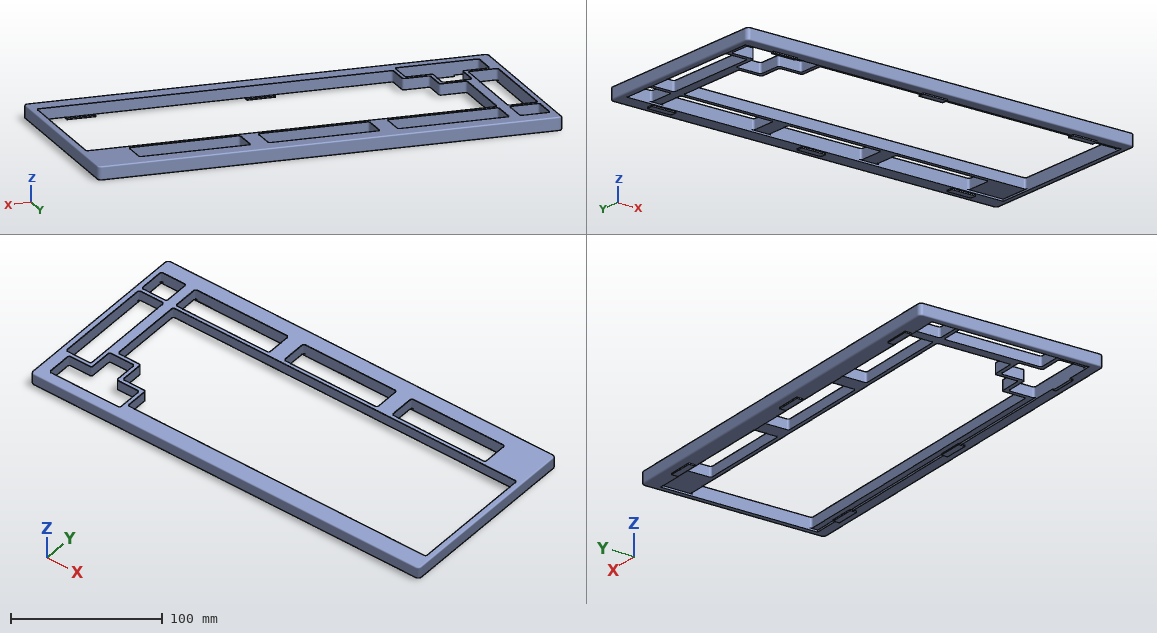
import cadquery as cq
LENGTH = 325.27
WIDTH = 146.69
TOTAL_HEIGHT = 10.5
FOOT_HEIGHT = 1.0
BODY_HEIGHT = TOTAL_HEIGHT - FOOT_HEIGHT
CORNER_RADIUS = 3.0
RIM_RADIUS = 1.0
RECESS_DEPTH = 1.5

PITCH = 19.05
CLEARANCE = 0.8
COLUMN_GAP = 0.5 * PITCH
ROW_GAP = 0.25 * PITCH
ARROW_OFFSET = 0.25 * PITCH
FUNCTION_GAP = 0.75 * PITCH

MAIN_COLUMNS = 15
MAIN_ROWS = 5
SIDE_ROWS = 4
FUNCTION_KEYS = 4
FUNCTION_GROUPS = 3
ARROW_COLUMNS = 3

OPENING_RADIUS = 1.5
OPENING_CHAMFER = 0.2

FOOT_LENGTH = 20.0
FOOT_WIDTH = 5.0
FOOT_COLUMNS = 3
FOOT_ROWS = 2
FOOT_SPACING_X = 126.0
FOOT_OFFSET_Y = 64.6

BACK_MARGIN = 13.5
KEYS_LENGTH = PITCH + COLUMN_GAP + MAIN_COLUMNS * PITCH
SIDE_LEFT = -KEYS_LENGTH / 2
MAIN_LEFT = SIDE_LEFT + PITCH + COLUMN_GAP
MAIN_RIGHT = MAIN_LEFT + MAIN_COLUMNS * PITCH
FUNCTION_TOP = WIDTH / 2 - BACK_MARGIN
FUNCTION_BOTTOM = FUNCTION_TOP - PITCH
MAIN_TOP = FUNCTION_BOTTOM - ROW_GAP
MAIN_BOTTOM = MAIN_TOP - MAIN_ROWS * PITCH
ARROW_LEFT = SIDE_LEFT + ARROW_OFFSET
ARROW_BOTTOM = MAIN_BOTTOM - ARROW_OFFSET


def make_body():
    """Plate with rounded corners and rounded top and bottom rims."""
    plate = cq.Workplane("XY").rect(LENGTH, WIDTH).extrude(BODY_HEIGHT)
    plate = plate.edges("|Z").fillet(CORNER_RADIUS)
    return plate.faces("<Z or >Z").fillet(RIM_RADIUS)


def make_feet():
    """Low pads in two rows under the frame."""
    return (
        cq.Workplane("XY")
        .rarray(FOOT_SPACING_X, 2 * FOOT_OFFSET_Y, FOOT_COLUMNS, FOOT_ROWS)
        .rect(FOOT_LENGTH, FOOT_WIDTH)
        .extrude(-FOOT_HEIGHT)
    )


def key_block(left, top, columns, rows):
    """Corners of a rectangular block of keys, from its back left corner."""
    right = left + columns * PITCH
    bottom = top - rows * PITCH
    return [(left, bottom), (right, bottom), (right, top), (left, top)]


def main_block():
    """Main block, with two steps at its front left corner for the arrow keys."""
    first_step_y = MAIN_BOTTOM + 2 * PITCH
    second_step_y = MAIN_BOTTOM + PITCH
    return [
        (MAIN_LEFT, MAIN_TOP),
        (MAIN_LEFT, first_step_y),
        (MAIN_LEFT + PITCH, first_step_y),
        (MAIN_LEFT + PITCH, second_step_y),
        (MAIN_LEFT + 2 * PITCH, second_step_y),
        (MAIN_LEFT + 2 * PITCH, MAIN_BOTTOM),
        (MAIN_RIGHT, MAIN_BOTTOM),
        (MAIN_RIGHT, MAIN_TOP),
    ]


def arrow_cluster():
    """Inverted T: a row of three keys with one key behind the middle."""
    right = ARROW_LEFT + ARROW_COLUMNS * PITCH
    shoulder_y = ARROW_BOTTOM + PITCH
    top = shoulder_y + PITCH
    return [
        (ARROW_LEFT, ARROW_BOTTOM),
        (right, ARROW_BOTTOM),
        (right, shoulder_y),
        (right - PITCH, shoulder_y),
        (right - PITCH, top),
        (ARROW_LEFT + PITCH, top),
        (ARROW_LEFT + PITCH, shoulder_y),
        (ARROW_LEFT, shoulder_y),
    ]


def cut_opening(body, key_outline):
    """Cut an opening with rounded corners through the body and any foot below it."""
    keys = cq.Workplane("XY", origin=(0, 0, -FOOT_HEIGHT)).polyline(key_outline).close()
    cutter = keys.offset2D(CLEARANCE, "intersection").extrude(TOTAL_HEIGHT)
    cutter = cutter.edges("|Z").fillet(OPENING_RADIUS)
    return body.cut(cutter)


def cut_recess(body):
    """Shallow underside recess over all the openings, so the bars between them are thinner."""
    left = SIDE_LEFT - CLEARANCE
    right = MAIN_RIGHT + CLEARANCE
    front = ARROW_BOTTOM - CLEARANCE
    back = FUNCTION_TOP + CLEARANCE
    recess = (
        cq.Workplane("XY")
        .center((left + right) / 2, (front + back) / 2)
        .rect(right - left, back - front)
        .extrude(RECESS_DEPTH)
    )
    return body.cut(recess)


def break_mouth_edges(body):
    """Chamfer the top edge of every opening."""
    top_face = body.faces(">Z").val()
    mouth_edges = [edge for wire in top_face.innerWires() for edge in wire.Edges()]
    return body.newObject(mouth_edges).chamfer(OPENING_CHAMFER)


openings = [
    key_block(SIDE_LEFT, FUNCTION_TOP, 1, 1),
    key_block(SIDE_LEFT, MAIN_TOP, 1, SIDE_ROWS),
    main_block(),
    arrow_cluster(),
]
for group in range(FUNCTION_GROUPS):
    group_left = MAIN_LEFT + group * (FUNCTION_KEYS * PITCH + FUNCTION_GAP)
    openings.append(key_block(group_left, FUNCTION_TOP, FUNCTION_KEYS, 1))

result = make_body().union(make_feet())
for key_outline in openings:
    result = cut_opening(result, key_outline)
result = cut_recess(result)
result = break_mouth_edges(result)